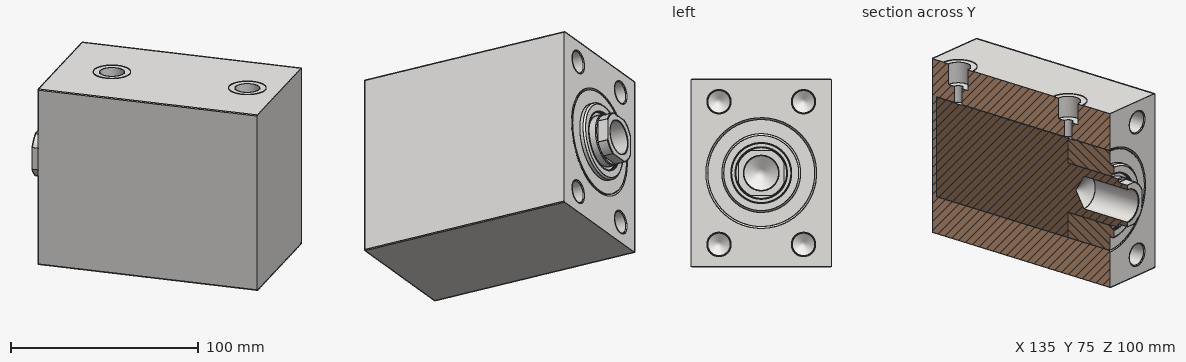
import cadquery as cq
import math


LENGTH = 123.0
WIDTH = 75.0
HEIGHT = 100.0
EDGE_CHAMFER = 0.5

BORE_DIAMETER = 57.0
BORE_CHAMFER = 1.0
REAR_WALL = 3.0
BORE_END = LENGTH - REAR_WALL

MOUNT_SPACING_Y = 45.0
MOUNT_SPACING_Z = 76.0
MOUNT_DIAMETER = 12.0
MOUNT_CHAMFER = 0.5
MOUNT_DEPTH = 25.0

FRONT_PORT_X = 29.0
PORT_SPACING = 76.0
PORT_XS = (FRONT_PORT_X, FRONT_PORT_X + PORT_SPACING)
SPOTFACE_DIAMETER = 20.0
SPOTFACE_DEPTH = 0.2
PORT_DIAMETER = 13.2
PORT_DEPTH = 12.0
PASSAGE_DIAMETER = 5.0

PORT_TO_GLAND_END = 0.5
GLAND_END = FRONT_PORT_X + PORT_TO_GLAND_END
COLLAR_DIAMETER = 42.0
COLLAR_LENGTH = 3.0
COLLAR_CHAMFER = 1.0
WIPER_MOUTH_DIAMETER = 32.5
WIPER_MOUTH_DEPTH = 0.5
WIPER_DIAMETER = 31.5
WIPER_DEPTH = 1.5

ROD_DIAMETER = 28.0
ROD_TIP = 12.0
ROD_CHAMFER = 0.5
WRENCH_LENGTH = 6.0
WRENCH_DIAMETER = 27.0
WRENCH_FLATS = 24.0
WRENCH_CHAMFER = 0.3
ROD_HOLE_DIAMETER = 18.5
ROD_HOLE_CHAMFER = 0.25
ROD_HOLE_DEPTH = 30.0

DRILL_TIP_ANGLE = 118.0


def cylinder(diameter, start, end):
    """Solid cylinder on the X axis between two X positions."""
    return cq.Workplane("YZ", origin=(start, 0, 0)).circle(diameter / 2).extrude(end - start)


def countersink(diameter, chamfer, face_x):
    """Cone that chamfers the mouth of a hole opening toward -X."""
    radius = diameter / 2
    profile = [(face_x, 0), (face_x, radius + chamfer), (face_x + chamfer, radius), (face_x + chamfer, 0)]
    return cq.Workplane("XY").polyline(profile).close().revolve(360, (0, 0, 0), (1, 0, 0))


def drilled_hole(diameter, depth, face_x):
    """Blind hole on the X axis with a conical bottom."""
    radius = diameter / 2
    tip = depth + radius / math.tan(math.radians(DRILL_TIP_ANGLE / 2))
    profile = [(face_x, 0), (face_x, radius), (face_x + depth, radius), (face_x + tip, 0)]
    return cq.Workplane("XY").polyline(profile).close().revolve(360, (0, 0, 0), (1, 0, 0))


def port(x):
    """Spotfaced port from the top face, with a passage into the bore."""
    top = cq.Workplane("XY", origin=(x, 0, HEIGHT / 2))
    spotface = top.circle(SPOTFACE_DIAMETER / 2).extrude(-SPOTFACE_DEPTH)
    thread_hole = top.circle(PORT_DIAMETER / 2).extrude(-PORT_DEPTH)
    passage = top.circle(PASSAGE_DIAMETER / 2).extrude(-HEIGHT / 2)
    return spotface.union(thread_hole).union(passage)


def make_housing():
    block = cq.Workplane("XY").box(LENGTH, WIDTH, HEIGHT).translate((LENGTH / 2, 0, 0))
    block = block.edges("|X").chamfer(EDGE_CHAMFER)

    block = block.cut(cylinder(BORE_DIAMETER, 0, BORE_END))
    block = block.cut(countersink(BORE_DIAMETER, BORE_CHAMFER, 0))

    mount = drilled_hole(MOUNT_DIAMETER, MOUNT_DEPTH, 0).union(countersink(MOUNT_DIAMETER, MOUNT_CHAMFER, 0))
    for side_y in (-1, 1):
        for side_z in (-1, 1):
            place = (0, side_y * MOUNT_SPACING_Y / 2, side_z * MOUNT_SPACING_Z / 2)
            block = block.cut(mount.translate(place))

    for x in PORT_XS:
        block = block.cut(port(x))
    return block


def make_gland():
    collar = cylinder(COLLAR_DIAMETER, -COLLAR_LENGTH, 0)
    collar = collar.faces("<X").chamfer(COLLAR_CHAMFER)
    gland = cylinder(BORE_DIAMETER, 0, GLAND_END).union(collar)
    gland = gland.cut(cylinder(ROD_DIAMETER, -COLLAR_LENGTH, GLAND_END))
    gland = gland.cut(cylinder(WIPER_MOUTH_DIAMETER, -COLLAR_LENGTH, WIPER_MOUTH_DEPTH - COLLAR_LENGTH))
    return gland.cut(cylinder(WIPER_DIAMETER, -COLLAR_LENGTH, WIPER_DEPTH - COLLAR_LENGTH))


def make_piston_rod():
    shoulder = WRENCH_LENGTH - ROD_TIP
    rod = cylinder(ROD_DIAMETER, shoulder, GLAND_END).faces("<X").chamfer(ROD_CHAMFER)
    piston = cylinder(BORE_DIAMETER, GLAND_END, BORE_END)

    wrench_end = cylinder(WRENCH_DIAMETER, -ROD_TIP, shoulder).faces("<X").chamfer(WRENCH_CHAMFER)
    flats = cq.Workplane("YZ", origin=(-ROD_TIP, 0, 0)).rect(WRENCH_FLATS, WRENCH_FLATS).extrude(WRENCH_LENGTH)
    wrench_end = wrench_end.intersect(flats)

    piston_rod = piston.union(rod).union(wrench_end)
    piston_rod = piston_rod.cut(drilled_hole(ROD_HOLE_DIAMETER, ROD_HOLE_DEPTH, -ROD_TIP))
    return piston_rod.cut(countersink(ROD_HOLE_DIAMETER, ROD_HOLE_CHAMFER, -ROD_TIP))


housing = make_housing()
gland = make_gland()
piston_rod = make_piston_rod()

result = cq.Compound.makeCompound([housing.val(), gland.val(), piston_rod.val()])